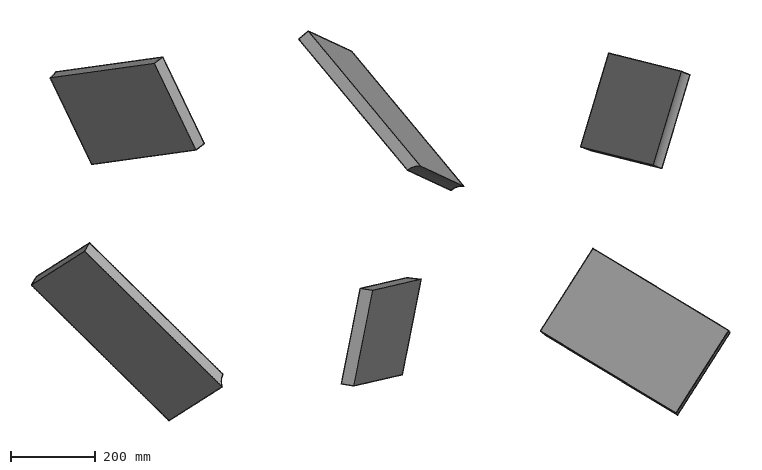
import cadquery as cq
import math

size_x = 506.0
size_z = 465.0
lean_angle = 37.8
turn_angle = 5.0
thickness_y = 30.5
hollow_depth = 13.5
hollow_sag = 3.5

lean = math.radians(lean_angle)
turn_slope = math.tan(math.radians(turn_angle))

length = (size_x * math.cos(lean) - size_z * math.sin(lean)) / math.cos(2 * lean)
width = (size_z * math.cos(lean) - size_x * math.sin(lean)) / math.cos(2 * lean)


def plate_point(along, across, depth=0.0):
    """Point along the length, down the width and behind the turned front face."""
    x = along * math.cos(lean) + across * math.sin(lean)
    z = width * math.cos(lean) + along * math.sin(lean) - across * math.cos(lean)
    y = (size_x - x) * turn_slope + depth
    return cq.Vector(x, y, z)


back_left = plate_point(0, 0, thickness_y)
back_right = plate_point(length, 0, thickness_y)
front_right = plate_point(length, 0)
front_left = plate_point(hollow_depth, 0)

chord = front_left - back_left
side_normal = cq.Vector(-math.sin(lean), 0, math.cos(lean))
inward = side_normal.cross(chord).normalized()
hollow_middle = (back_left + front_left) * 0.5 + inward * hollow_sag

outline = cq.Wire.assembleEdges([
    cq.Edge.makeLine(back_left, back_right),
    cq.Edge.makeLine(back_right, front_right),
    cq.Edge.makeLine(front_right, front_left),
    cq.Edge.makeThreePointArc(front_left, hollow_middle, back_left),
])

across_width = plate_point(0, width) - plate_point(0, 0)
result = cq.Workplane(obj=cq.Solid.extrudeLinear(outline, [], across_width))